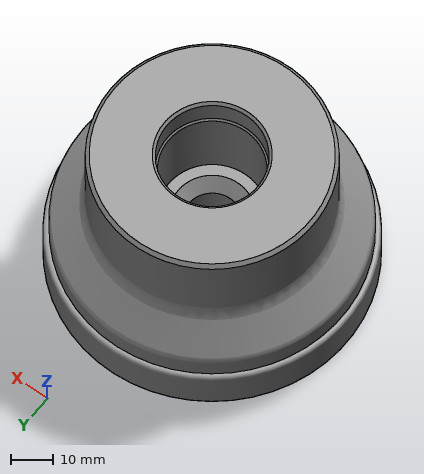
import cadquery as cq

base_radius = 40.0
base_height = 12.0
base_top_round = 1.0
base_bottom_round = 0.7

shoulder_radius = 38.6
shoulder_corner_z = 18.1
shoulder_round = 2.0
neck_radius = 30.0
neck_corner_z = 27.0
neck_fillet = 5.0
total_height = 50.0
neck_chamfer = 1.0

mouth_radius = 14.2
mouth_chamfer = 0.7
entry_radius = mouth_radius - mouth_chamfer
bore_radius = 13.0
step_height = entry_radius - bore_radius
step_z = total_height - 7.3
bore_floor_z = 20.0

hole_radius = 7.0
seat_radius = 10.1
seat_depth = seat_radius - hole_radius


def make_flange():
    flange = cq.Workplane("XY").circle(base_radius).extrude(base_height)
    return flange.faces(">Z").edges().fillet(base_top_round).faces("<Z").edges().fillet(base_bottom_round)


def circle_at(height):
    """Select the circular edge centred on the Z axis at the given height."""
    reach = 0.1
    return cq.selectors.BoxSelector((-reach, -reach, height - reach), (reach, reach, height + reach))


def make_upper_body():
    body = (
        cq.Workplane("XZ")
        .moveTo(0, 0)
        .lineTo(shoulder_radius, 0)
        .lineTo(shoulder_radius, shoulder_corner_z)
        .lineTo(neck_radius, neck_corner_z)
        .lineTo(neck_radius, total_height)
        .lineTo(0, total_height)
        .close()
        .revolve(360, (0, 0, 0), (0, 1, 0))
    )
    body = body.faces(">Z").edges().chamfer(neck_chamfer)
    body = body.edges(circle_at(neck_corner_z)).fillet(neck_fillet)
    return body.edges(circle_at(shoulder_corner_z)).fillet(shoulder_round)


def make_bore():
    return (
        cq.Workplane("XZ")
        .moveTo(0, 0)
        .lineTo(hole_radius, 0)
        .lineTo(hole_radius, bore_floor_z - seat_depth)
        .lineTo(seat_radius, bore_floor_z)
        .lineTo(bore_radius, bore_floor_z)
        .lineTo(bore_radius, step_z - step_height)
        .lineTo(entry_radius, step_z)
        .lineTo(entry_radius, total_height - mouth_chamfer)
        .lineTo(mouth_radius, total_height)
        .lineTo(0, total_height)
        .close()
        .revolve(360, (0, 0, 0), (0, 1, 0))
    )


result = make_flange().union(make_upper_body()).cut(make_bore())